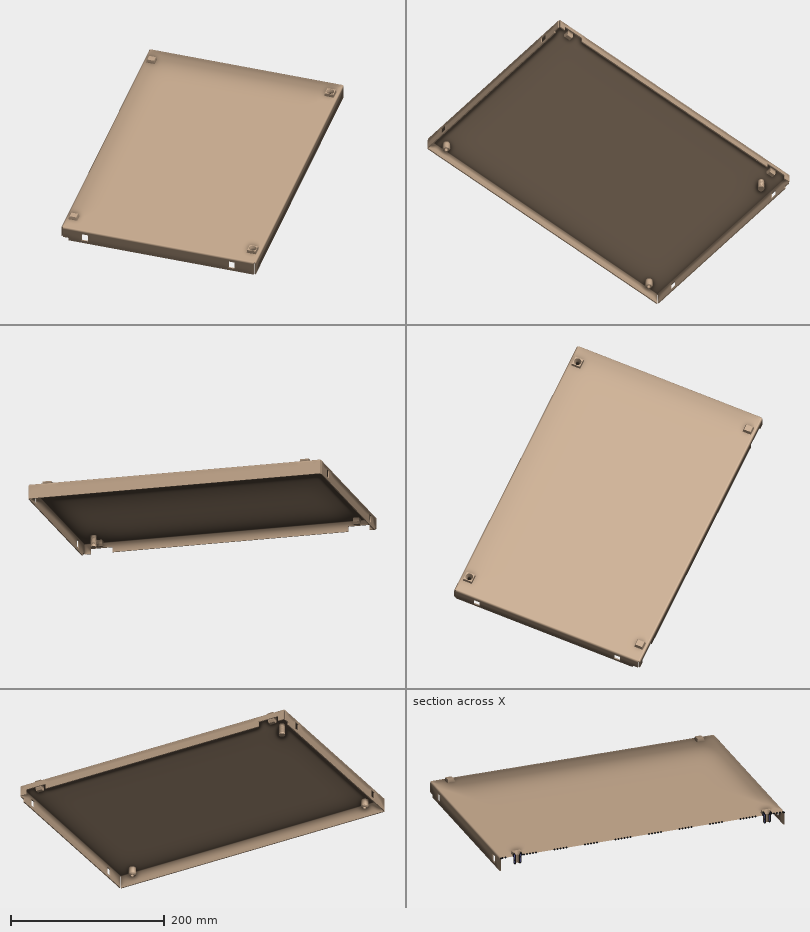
import cadquery as cq
import math

LENGTH_X = 265.0
WIDTH_Y = 398.0
TOTAL_HEIGHT = 23.5
PAD_HEIGHT = 4.0
PANEL_HEIGHT = TOTAL_HEIGHT - PAD_HEIGHT
SHEET = 1.5
BEND_RADIUS = 2.5
INNER_BEND_RADIUS = BEND_RADIUS - SHEET
SHEET_UNDERSIDE = PANEL_HEIGHT - SHEET

CORNER_RELIEF_X = BEND_RADIUS
CORNER_RELIEF_Y = SHEET

SHORT_WALL_Z = 4.0
SHORT_WALL_STEP_X = 10.0

PAD_Y = 174.5
ROW_Y = (-PAD_Y, PAD_Y)

NOTCH_WIDTH = 29.5
NOTCH_TOP_Z = 11.0

WINDOW_X = 100.0
WINDOW_WIDTH = 8.5
WINDOW_BOTTOM_Z = 4.0
WINDOW_HEIGHT = 10.0

FOOT_X = -LENGTH_X / 2 + 10.2
FOOT_BASE_X = 12.0
FOOT_BASE_Y = 11.0
FOOT_DRAFT = 19.2
PEG_WIDTH = 8.4
PEG_TIP_Z = 9.8
PEG_TIP_HEIGHT = 3.0
PEG_TIP_DRAFT = 32.0

BUSHING_X = LENGTH_X / 2 - 11.2
BUSHING_BASE = 12.6
BUSHING_DRAFT = 8.2
SHANK_DIAMETER = 10.0
SHANK_TIP_DIAMETER = 7.0
SHANK_TIP_Z = 7.0
SHANK_TIP_DRAFT = 40.0
BORE_DIAMETER = 4.5
SINK_DIAMETER = 9.8
SINK_DEPTH = 5.0

STUD_X = -WINDOW_X
STUD_Y = -WIDTH_Y / 2 + 22.5
STUD_DIAMETER = 8.4
STUD_TIP_Z = 2.75
STUD_PLAIN_END = 2.2
THREAD_PITCH = 1.25
THREAD_DEPTH = 0.4


def block(size_x, size_y, bottom, top):
    """Upright box centred on the Z axis between two heights."""
    return cq.Workplane("XY").workplane(offset=bottom).rect(size_x, size_y).extrude(top - bottom)


def post(diameter, bottom, top):
    """Upright cylinder on the Z axis between two heights."""
    return cq.Workplane("XY").workplane(offset=bottom).circle(diameter / 2).extrude(top - bottom)


def tapered_pad(size_x, size_y, draft):
    """Four-sided pad standing on the panel and narrowing upward."""
    base = cq.Workplane("XY").workplane(offset=PANEL_HEIGHT).rect(size_x, size_y)
    return base.extrude(PAD_HEIGHT, taper=draft)


def make_panel():
    outer = block(LENGTH_X, WIDTH_Y, 0, PANEL_HEIGHT)
    outer = outer.edges(">Z").fillet(BEND_RADIUS)
    inner = block(LENGTH_X - 2 * SHEET, WIDTH_Y - 2 * SHEET, 0, SHEET_UNDERSIDE)
    inner = inner.edges(">Z").fillet(INNER_BEND_RADIUS)
    panel = outer.cut(inner)

    for x in (-LENGTH_X / 2, LENGTH_X / 2):
        for y in (-WIDTH_Y / 2, WIDTH_Y / 2):
            relief = block(2 * CORNER_RELIEF_X, 2 * CORNER_RELIEF_Y, 0, PANEL_HEIGHT)
            panel = panel.cut(relief.translate((x, y, 0)))

    step = block(2 * SHORT_WALL_STEP_X, WIDTH_Y, 0, SHORT_WALL_Z)
    panel = panel.cut(step.translate((-LENGTH_X / 2, 0, 0)))

    for y in ROW_Y:
        notch = block(2 * BEND_RADIUS, NOTCH_WIDTH, 0, NOTCH_TOP_Z)
        panel = panel.cut(notch.translate((-LENGTH_X / 2, y, 0)))
        peg_hole = block(PEG_WIDTH, PEG_WIDTH, SHEET_UNDERSIDE, PANEL_HEIGHT)
        panel = panel.cut(peg_hole.translate((FOOT_X, y, 0)))
        shank_hole = post(SHANK_DIAMETER, SHEET_UNDERSIDE, PANEL_HEIGHT)
        panel = panel.cut(shank_hole.translate((BUSHING_X, y, 0)))

    for x in (-WINDOW_X, WINDOW_X):
        window = block(WINDOW_WIDTH, WIDTH_Y, WINDOW_BOTTOM_Z, WINDOW_BOTTOM_Z + WINDOW_HEIGHT)
        panel = panel.cut(window.translate((x, 0, 0)))
    return panel


def make_foot(y):
    tip_top = PEG_TIP_Z + PEG_TIP_HEIGHT
    tip_inset = PEG_TIP_HEIGHT * math.tan(math.radians(PEG_TIP_DRAFT))
    half = PEG_WIDTH / 2
    profile = [
        (-half, PANEL_HEIGHT),
        (half, PANEL_HEIGHT),
        (half, tip_top),
        (half - tip_inset, PEG_TIP_Z),
        (tip_inset - half, PEG_TIP_Z),
        (-half, tip_top),
    ]
    peg = cq.Workplane("XZ").polyline(profile).close().extrude(half, both=True)
    foot = tapered_pad(FOOT_BASE_X, FOOT_BASE_Y, FOOT_DRAFT).union(peg)
    return foot.translate((FOOT_X, y, 0))


def make_bushing(y):
    shank_radius = SHANK_DIAMETER / 2
    tip_radius = SHANK_TIP_DIAMETER / 2
    tip_height = (shank_radius - tip_radius) / math.tan(math.radians(SHANK_TIP_DRAFT))
    shank = post(SHANK_DIAMETER, SHANK_TIP_Z, PANEL_HEIGHT)
    shank = shank.faces("<Z").chamfer(tip_height, shank_radius - tip_radius)
    bushing = tapered_pad(BUSHING_BASE, BUSHING_BASE, BUSHING_DRAFT).union(shank)
    sink_angle = 2 * math.degrees(math.atan((SINK_DIAMETER - BORE_DIAMETER) / 2 / SINK_DEPTH))
    bushing = bushing.faces(">Z").workplane().cskHole(BORE_DIAMETER, SINK_DIAMETER, sink_angle)
    return bushing.translate((BUSHING_X, y, 0))


def make_stud():
    stud = post(STUD_DIAMETER, STUD_TIP_Z, SHEET_UNDERSIDE)
    root_radius = STUD_DIAMETER / 2 - THREAD_DEPTH
    thread_start = STUD_TIP_Z + STUD_PLAIN_END
    thread_count = int((SHEET_UNDERSIDE - thread_start) / THREAD_PITCH)
    groove = (
        cq.Workplane("XZ")
        .moveTo(STUD_DIAMETER / 2, 0)
        .lineTo(root_radius, THREAD_PITCH / 2)
        .lineTo(STUD_DIAMETER / 2, THREAD_PITCH)
        .close()
        .revolve(360, (0, 0, 0), (0, 1, 0))
    )
    for turn in range(thread_count):
        stud = stud.cut(groove.translate((0, 0, thread_start + turn * THREAD_PITCH)))
    return stud.translate((STUD_X, STUD_Y, 0))


panel = make_panel()
feet = [make_foot(y) for y in ROW_Y]
bushings = [make_bushing(y) for y in ROW_Y]
stud = make_stud()

bodies = [panel, *feet, *bushings, stud]
result = cq.Compound.makeCompound([body.solids().val() for body in bodies])